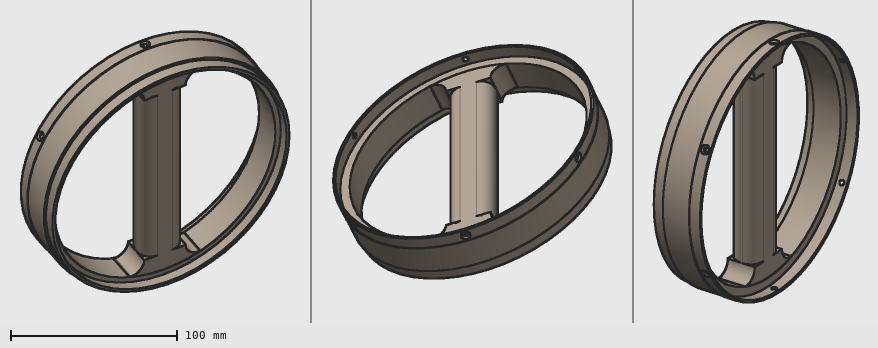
import cadquery as cq
import math

outer_radius = 83.8
body_radius = 83.5
lip_thickness = 1.5
socket_radius = outer_radius - lip_thickness
bore_radius = 76.3
ring_length = 35.0
socket_depth = 8.0
spigot_length = 7.7
spigot_radius = 82.0
rear_recess_radius = 80.0
rear_recess_depth = 7.0

screw_count = 6
screw_x = 3.9
screw_diameter = 3.2
countersink_diameter = 5.9

column_width = 28.7
column_depth = 19.8
column_corner_radius = 9.0
foot_height = 63.2
flare_radius = 9.0
holder_center_x = socket_depth + column_depth / 2


def make_screw_cutter():
    """Countersunk hole at the top of the ring, pointing along Z."""
    sink_radius = countersink_diameter / 2
    hole_radius = screw_diameter / 2
    sink_depth = sink_radius - hole_radius
    return (
        cq.Workplane("XZ", origin=(screw_x, 0, outer_radius))
        .polyline([
            (0, lip_thickness),
            (sink_radius, lip_thickness),
            (sink_radius, 0),
            (hole_radius, -sink_depth),
            (hole_radius, -2 * lip_thickness),
            (0, -2 * lip_thickness),
        ])
        .close()
        .revolve(360, (0, 0, 0), (0, 1, 0))
    )


def make_ring():
    spigot_start = ring_length - spigot_length
    rear_recess_start = ring_length - rear_recess_depth
    ring = (
        cq.Workplane("XY")
        .polyline([
            (0, socket_radius),
            (0, outer_radius),
            (socket_depth, outer_radius),
            (socket_depth, body_radius),
            (spigot_start, body_radius),
            (spigot_start, spigot_radius),
            (ring_length, spigot_radius),
            (ring_length, rear_recess_radius),
            (rear_recess_start, rear_recess_radius),
            (rear_recess_start, bore_radius),
            (socket_depth, bore_radius),
            (socket_depth, socket_radius),
        ])
        .close()
        .revolve(360, (0, 0, 0), (1, 0, 0))
    )
    cutter = make_screw_cutter()
    for index in range(screw_count):
        angle = index * 360 / screw_count
        ring = ring.cut(cutter.rotate((0, 0, 0), (1, 0, 0), angle))
    return ring


def make_column():
    return (
        cq.Workplane("XY", origin=(holder_center_x, 0, -foot_height))
        .rect(column_depth, column_width)
        .extrude(2 * foot_height)
        .edges("|Z")
        .fillet(column_corner_radius)
    )


def make_foot():
    """Upper foot: a neck as wide as the column, flaring out tangentially to a flat on the bore."""
    neck = column_width / 2
    flare_end = neck + flare_radius
    flare_top = foot_height + flare_radius
    arc_center = (flare_end, foot_height)
    arc_mid = (
        arc_center[0] - flare_radius * math.cos(math.radians(45)),
        arc_center[1] + flare_radius * math.sin(math.radians(45)),
    )
    foot = (
        cq.Workplane("YZ", origin=(socket_depth, 0, 0))
        .moveTo(-neck, foot_height)
        .lineTo(neck, foot_height)
        .threePointArc(arc_mid, (flare_end, flare_top))
        .lineTo(bore_radius, flare_top)
        .lineTo(bore_radius, outer_radius)
        .lineTo(-bore_radius, outer_radius)
        .lineTo(-bore_radius, flare_top)
        .lineTo(-flare_end, flare_top)
        .threePointArc((-arc_mid[0], arc_mid[1]), (-neck, foot_height))
        .close()
        .extrude(column_depth)
    )
    bore_fill = cq.Workplane("YZ", origin=(socket_depth, 0, 0)).circle(bore_radius).extrude(column_depth)
    return foot.intersect(bore_fill)


def make_holder():
    foot = make_foot()
    return make_column().union(foot).union(foot.mirror("XY"))


ring = make_ring()
holder = make_holder()
result = cq.Compound.makeCompound([ring.val(), holder.val()])